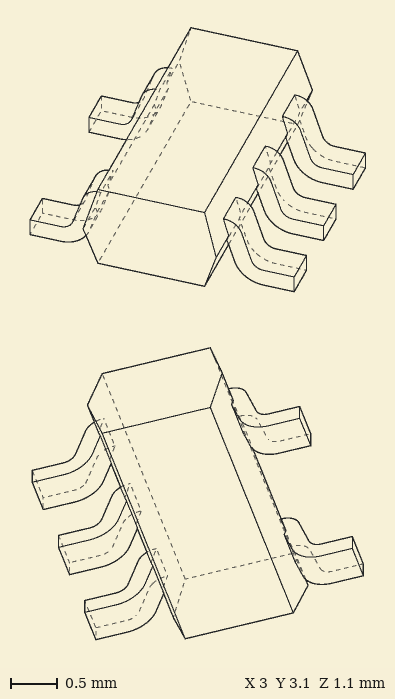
import cadquery as cq
import math

body_width = 1.513
body_length = 3.1
end_width = 1.212
end_length = 2.998
body_bottom = 0.1
parting_height = 0.567
body_top = 1.1

lead_span = 3.0
lead_width = 0.4
lead_pitch = 0.95
lead_thickness = 0.2
lead_top = 0.78
foot_length = 0.35
lead_angle = math.radians(72)
foot_bend_radius = 0.143
shoulder_radius = 0.2
embedded_reach = 0.93


def body_half(end_height):
    """Taper from the parting plane to the smaller flat face."""
    return (
        cq.Workplane("XY", origin=(0, 0, parting_height))
        .rect(body_width, body_length)
        .workplane(offset=end_height - parting_height)
        .rect(end_width, end_length)
        .loft(ruled=True, combine=True)
    )


def arc_point(center, radius, angle):
    return (center[0] + radius * math.cos(angle), center[1] + radius * math.sin(angle))


def lead(y_center):
    """Lead on the -X side, with its toe at half the lead span."""
    toe = -lead_span / 2
    foot_center = (toe + foot_length, lead_thickness + foot_bend_radius)
    heel_radius = foot_bend_radius + lead_thickness
    down = -math.pi / 2
    bend_end = down + lead_angle
    bend_middle = down + lead_angle / 2

    instep_end = arc_point(foot_center, foot_bend_radius, bend_end)
    heel_end = arc_point(foot_center, heel_radius, bend_end)

    up = math.pi / 2
    shoulder_z = lead_top - shoulder_radius
    leg_top_z = shoulder_z + shoulder_radius * math.cos(lead_angle)
    leg_top_x = instep_end[0] + (leg_top_z - instep_end[1]) / math.tan(lead_angle)
    shoulder_center = (leg_top_x + shoulder_radius * math.sin(lead_angle), shoulder_z)

    underside_z = lead_top - lead_thickness
    underside_x = heel_end[0] + (underside_z - heel_end[1]) / math.tan(lead_angle)
    inner_end = toe + embedded_reach

    return (
        cq.Workplane("XZ", origin=(0, y_center, 0))
        .moveTo(toe, 0)
        .lineTo(foot_center[0], 0)
        .threePointArc(arc_point(foot_center, heel_radius, bend_middle), heel_end)
        .lineTo(underside_x, underside_z)
        .lineTo(inner_end, underside_z)
        .lineTo(inner_end, lead_top)
        .lineTo(shoulder_center[0], lead_top)
        .threePointArc(
            arc_point(shoulder_center, shoulder_radius, up + lead_angle / 2),
            (leg_top_x, leg_top_z),
        )
        .lineTo(*instep_end)
        .threePointArc(
            arc_point(foot_center, foot_bend_radius, bend_middle),
            (foot_center[0], lead_thickness),
        )
        .lineTo(toe, lead_thickness)
        .close()
        .extrude(lead_width / 2, both=True)
    )


result = body_half(body_top).union(body_half(body_bottom))

for y_center in (-lead_pitch, lead_pitch):
    result = result.union(lead(y_center))

for y_center in (-lead_pitch, 0, lead_pitch):
    result = result.union(lead(y_center).mirror("YZ"))